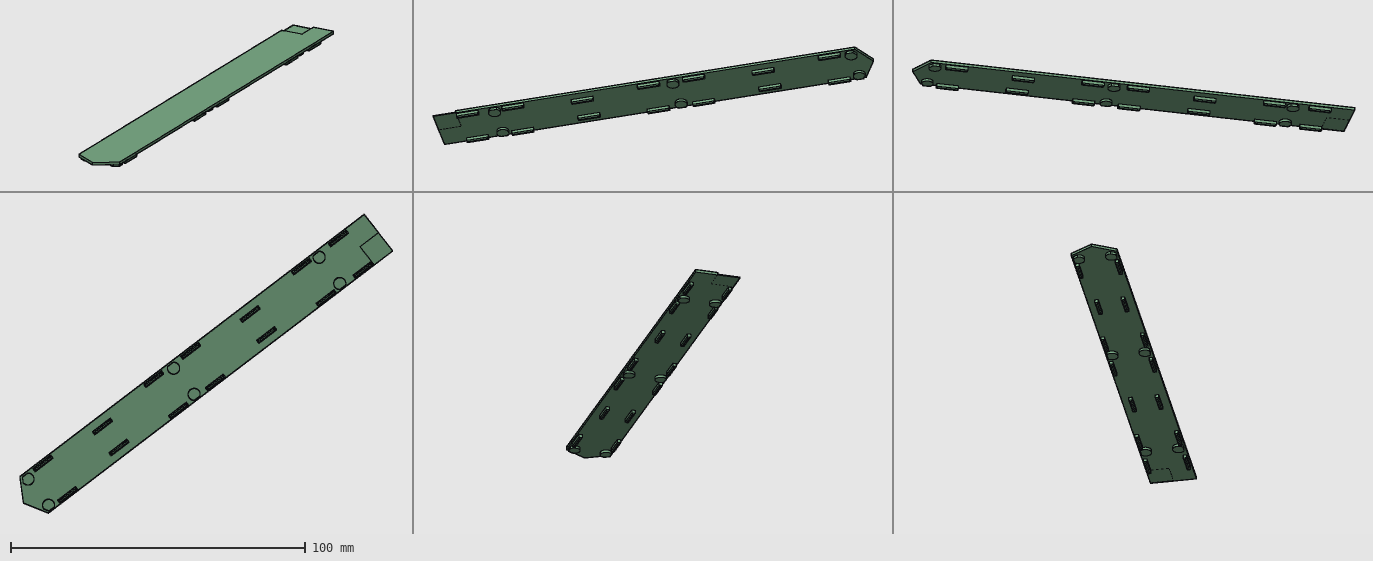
import cadquery as cq
import math

length = 152.6
width = 15.9
plate_thickness = 0.99
tip_slope = 30.0

step_side = width / 2
step_depth = 0.65

peg_diameter = 4.1
peg_height = 0.9
peg_row_x = 5.72
peg_pitch = 62.6
peg_middle_y = -7.3
peg_tip_margin = 0.9
peg_side_margin = 0.53

rib_length = 7.6
rib_width = 1.2
rib_height = 1.45
rib_chamfer = 0.37
rib_row_offset = 1.15
rib_grid = width / 2
first_rib_y = 64.4
outer_rib_steps = (0, 2, 8, 10, 16)
inner_rib_steps = (5, 13)


def pointed_strip(side_inset, tip_inset, thickness):
    """Strip with its top at Z = 0, its long edges and its tip edges moved inward by the insets."""
    half_width = width / 2 - side_inset
    slope = math.tan(math.radians(tip_slope))
    apex_y = -length / 2 + tip_inset / math.cos(math.radians(tip_slope))
    shoulder_y = apex_y + half_width * slope
    outline = [
        (-half_width, length / 2),
        (-half_width, shoulder_y),
        (0, apex_y),
        (half_width, shoulder_y),
        (half_width, length / 2),
    ]
    return cq.Workplane("XY").polyline(outline).close().extrude(-thickness)


def corner_step():
    """Block removed from the top face to leave the sunken square corner."""
    return cq.Workplane("XY").box(step_side, step_side, step_depth, centered=False).translate(
        (-width / 2, length / 2 - step_side, -step_depth)
    )


def pegs():
    """Round pegs in both rows, trimmed flat where they come too near the edges."""
    places = [
        (side * peg_row_x, peg_middle_y + step * peg_pitch)
        for side in (-1, 1)
        for step in (-1, 0, 1)
    ]
    depth = plate_thickness + peg_height
    cylinders = cq.Workplane("XY").pushPoints(places).circle(peg_diameter / 2).extrude(-depth)
    return cylinders.intersect(pointed_strip(peg_side_margin, peg_tip_margin, depth))


def ribs(row_x, grid_steps):
    """Ribs at X = +row_x and -row_x, with their lower edges chamfered."""
    places = [
        (side * row_x, first_rib_y - step * rib_grid)
        for side in (-1, 1)
        for step in grid_steps
    ]
    depth = plate_thickness + rib_height
    blocks = cq.Workplane("XY").pushPoints(places).rect(rib_width, rib_length).extrude(-depth)
    return blocks.faces("<Z").chamfer(rib_chamfer)


plate = pointed_strip(0, 0, plate_thickness)
outer_ribs = ribs(peg_row_x + rib_row_offset, outer_rib_steps)
inner_ribs = ribs(peg_row_x - rib_row_offset, inner_rib_steps)
result = plate.union(pegs()).union(outer_ribs).union(inner_ribs).cut(corner_step())